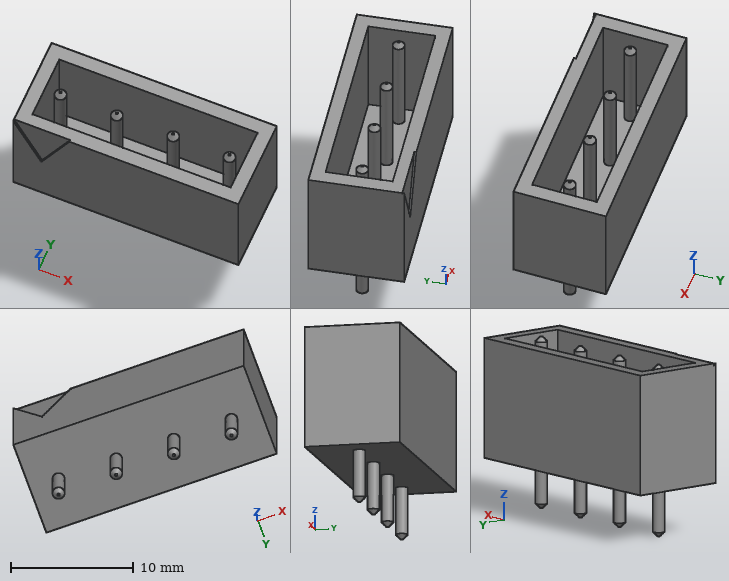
import cadquery as cq

PIN_COUNT = 4
PITCH = 5.0
HOUSING_LENGTH = PIN_COUNT * PITCH
HOUSING_WIDTH = 8.0
HOUSING_HEIGHT = 10.0
WALL = 1.2
FLOOR = WALL

MARK_WIDTH = PITCH
MARK_HEIGHT = 5.0
MARK_DEPTH = 0.17

PIN_DIAMETER = 1.0
PIN_TIP_DIAMETER = 0.2
PIN_CHAMFER = (PIN_DIAMETER - PIN_TIP_DIAMETER) / 2
PIN_BOTTOM = -4.3
PIN_TOP = HOUSING_HEIGHT
PIN_LENGTH = PIN_TOP - PIN_BOTTOM
PIN_Y = HOUSING_WIDTH / 2
PIN_POSITIONS = [(PITCH * (i + 0.5), PIN_Y) for i in range(PIN_COUNT)]


def make_cavity():
    """Rectangular space inside the walls, open at the top."""
    return cq.Workplane("XY").box(
        HOUSING_LENGTH - 2 * WALL,
        HOUSING_WIDTH - 2 * WALL,
        HOUSING_HEIGHT - FLOOR,
        centered=False,
    ).translate((WALL, WALL, FLOOR))


def make_pin_one_mark():
    """Downward-pointing triangle hanging from the top edge of the front face."""
    return (
        cq.Workplane("XZ")
        .moveTo(0, HOUSING_HEIGHT)
        .lineTo(MARK_WIDTH, HOUSING_HEIGHT)
        .lineTo(MARK_WIDTH / 2, HOUSING_HEIGHT - MARK_HEIGHT)
        .close()
        .extrude(-MARK_DEPTH)
    )


def make_housing():
    """Box with its cavity, pin-one mark and a hole in the floor for each pin."""
    block = cq.Workplane("XY").box(HOUSING_LENGTH, HOUSING_WIDTH, HOUSING_HEIGHT, centered=False)
    pin_holes = cq.Workplane("XY").pushPoints(PIN_POSITIONS).circle(PIN_DIAMETER / 2).extrude(FLOOR)
    return block.cut(make_cavity()).cut(make_pin_one_mark()).cut(pin_holes)


def make_pin(x, y):
    """Straight round pin, upright at the given place."""
    return (
        cq.Workplane("XY", origin=(x, y, PIN_BOTTOM))
        .circle(PIN_DIAMETER / 2)
        .extrude(PIN_LENGTH)
        .faces("<Z or >Z")
        .chamfer(PIN_CHAMFER)
    )


housing = make_housing()
pins = [make_pin(x, y) for x, y in PIN_POSITIONS]

result = cq.Compound.makeCompound([housing.val(), *[pin.val() for pin in pins]])